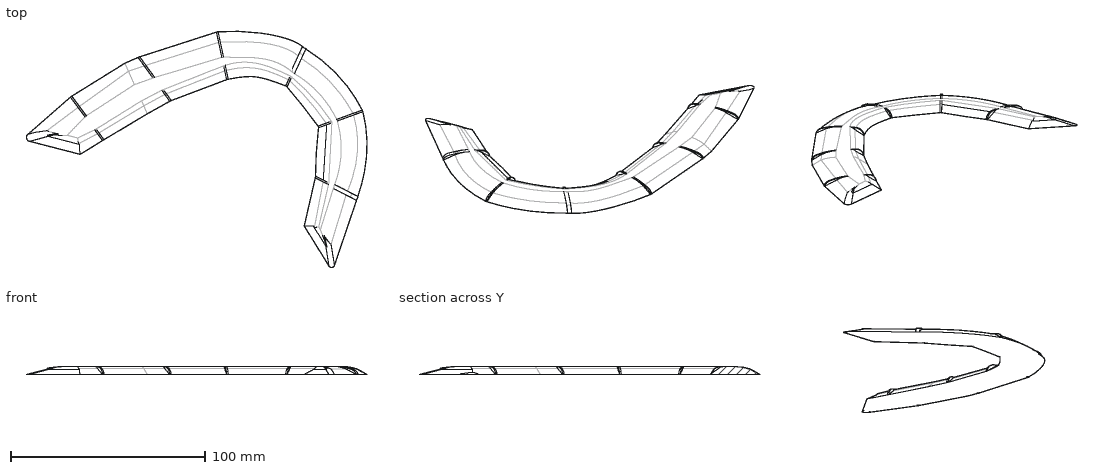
import cadquery as cq
import math

top_height = 4.2
inner_shoulder_height = 3.0
outer_shoulder_height = 2.8

rib_thickness = 0.9
wide_rib_thickness = 2.1
rib_inner_bulge = (1.0, 2.3)
rib_outer_bulge = (1.0, 1.5)
rib_shoulder_inset = 3.5
rib_inner_shoulder_height = 3.9

cutter_margin = 21.0
cap_shoulder_height = 2.6
start_cap_slope_run = 5.0
start_cap_round_run = 3.0
end_cap_slope_run = 4.0
end_cap_round_run = 2.1
start_point_radius = 2.1
end_point_radius = 1.5
start_ridge_top = (8.3, 68.8)
end_ridge_top = (156.0, 9.0)
ridge_overrun = 2


def station(inner, outer, inner_widths, outer_widths):
    """One cross-section: two base corners, and the (shoulder, crest) distance from each corner."""
    return {"inner": inner, "outer": outer, "inner_widths": inner_widths, "outer_widths": outer_widths}


start_tip = station((27.7, 58.3), (-2.3, 66.0), (7.9, 12.8), (5.3, 17.5))
joint_1 = station((39.7, 65.7), (23.0, 88.2), (4.4, 6.8), (6.7, 12.6))
outer_bend = station((62.3, 79.2), (50.8, 105.4), (4.5, 7.4), (4.5, 12.1))
joint_2 = station((74.3, 85.9), (58.0, 108.5), (4.4, 7.0), (5.5, 13.2))
joint_3 = station((103.6, 97.0), (98.4, 121.5), (4.7, 7.4), (5.5, 13.3))
crown_left = station((113.1, 98.4), (112.0, 121.7), (4.7, 7.5), (5.3, 13.3))
crown_right = station((119.8, 98.0), (125.8, 120.1), (4.4, 6.8), (5.0, 13.0))
joint_4 = station((134.0, 93.5), (143.1, 113.3), (3.5, 5.6), (5.5, 14.0))
right_shoulder = station((142.5, 83.2), (160.5, 99.2), (4.2, 6.8), (5.3, 13.5))
joint_5 = station((150.5, 72.5), (173.3, 80.8), (4.5, 7.4), (5.1, 14.0))
right_bulge = station((149.5, 61.0), (175.6, 62.5), (4.4, 7.4), (5.0, 13.3))
joint_6 = station((149.0, 46.7), (170.5, 35.7), (4.5, 7.7), (6.1, 13.5))
end_tip = station((143.1, 21.5), (157.7, -2.1), (7.9, 10.5), (6.3, 16.3))

stretches = [
    [joint_1, outer_bend],
    [outer_bend, joint_2],
    [joint_2, joint_3],
    [joint_3, crown_left, crown_right, joint_4],
    [joint_4, right_shoulder, joint_5],
    [joint_5, right_bulge, joint_6],
]
joints = [joint_1, joint_2, joint_3, joint_4, joint_5, joint_6]
wide_outer_joints = [joint_4, joint_6]


def station_plane(place):
    """Upright plane with its origin at the inner base corner and local X towards the outer one."""
    dx = place["outer"][0] - place["inner"][0]
    dy = place["outer"][1] - place["inner"][1]
    return cq.Plane(origin=(*place["inner"], 0), xDir=(dx, dy, 0), normal=(dy, -dx, 0))


def round_middle(low, high):
    """Point midway along the arc from low up to high that is level at high."""
    run = high[0] - low[0]
    rise = high[1] - low[1]
    radius = (run**2 + rise**2) / (2 * rise)
    half_angle = math.asin(abs(run) / radius) / 2
    return (
        high[0] - math.copysign(radius * math.sin(half_angle), run),
        high[1] - radius * (1 - math.cos(half_angle)),
    )


def band_profile(place):
    """Closed section wire: inner slope and round, flat top, outer dome and slope, base."""
    width = math.dist(place["inner"], place["outer"])
    inner_shoulder = (place["inner_widths"][0], inner_shoulder_height)
    inner_crest = (place["inner_widths"][1], top_height)
    outer_crest = (width - place["outer_widths"][1], top_height)
    outer_shoulder = (width - place["outer_widths"][0], outer_shoulder_height)
    return (
        cq.Workplane(station_plane(place))
        .lineTo(*inner_shoulder)
        .threePointArc(round_middle(inner_shoulder, inner_crest), inner_crest)
        .lineTo(*outer_crest)
        .threePointArc(round_middle(outer_shoulder, outer_crest), outer_shoulder)
        .lineTo(width, 0)
        .close()
        .val()
    )


def band_stretch(places):
    """Solid through two or more stations; straight between two, smooth through more."""
    ruled = len(places) == 2
    return cq.Workplane(cq.Solid.makeLoft([band_profile(place) for place in places], ruled))


def close_rib(outline, place, thickness):
    """Finish a rib outline from the outer crest down its bulging outer end, and thicken it."""
    width = math.dist(place["inner"], place["outer"])
    outer_crest = (width - place["outer_widths"][1], top_height)
    shoulder = (width - rib_shoulder_inset, outer_shoulder_height)
    return (
        outline.lineTo(*outer_crest)
        .threePointArc(round_middle(shoulder, outer_crest), shoulder)
        .threePointArc((width - rib_outer_bulge[0], rib_outer_bulge[1]), (width, 0))
        .close()
        .extrude(thickness / 2, both=True)
    )


def cross_rib(place):
    """Thin upright plate across the whole band with bulging ends, flush with the flat top."""
    outline = (
        cq.Workplane(station_plane(place))
        .threePointArc(rib_inner_bulge, (rib_shoulder_inset, rib_inner_shoulder_height))
        .lineTo(place["inner_widths"][1], top_height)
    )
    return close_rib(outline, place, rib_thickness)


def outer_rib(place):
    """Thicker plate over the outer dome and slope only."""
    width = math.dist(place["inner"], place["outer"])
    outline = cq.Workplane(station_plane(place)).moveTo(width - place["outer_widths"][1], 0)
    return close_rib(outline, place, wide_rib_thickness)


def cap_cutter(place, inward_sign, slope_run, round_run):
    """Block beyond a slope that rises from the tip's base line and rounds over into the top."""
    across = station_plane(place)
    inward = across.zDir * inward_sign
    length = math.dist(place["inner"], place["outer"])
    shoulder = (slope_run, cap_shoulder_height)
    crest = (slope_run + round_run, top_height)
    return (
        cq.Workplane(cq.Plane(origin=across.origin, xDir=inward, normal=inward.cross(cq.Vector(0, 0, 1))))
        .lineTo(*shoulder)
        .threePointArc(round_middle(shoulder, crest), crest)
        .lineTo(crest[0], top_height + cutter_margin)
        .lineTo(-cutter_margin, top_height + cutter_margin)
        .lineTo(-cutter_margin, 0)
        .close()
        .extrude(length + cutter_margin, both=True)
    )


def oblique_prism(wire, sweep):
    """Solid between a wire and its copy shifted along a slanting direction."""
    return cq.Solid.makeLoft([wire, wire.translate(sweep)], True)


def point_cutter(tip, joint, ridge_top, radius):
    """Sharp corner outside an oblique round that follows the ridge between a cap and the outer slope."""
    corner = cq.Vector(*tip["outer"])
    ridge = cq.Vector(*ridge_top, outer_shoulder_height) - corner
    cap_side = (cq.Vector(*tip["inner"]) - corner).normalized()
    outer_side = (cq.Vector(*joint["outer"]) - corner).normalized()
    half_angle = cap_side.getAngle(outer_side) / 2
    tangent_run = radius / math.tan(half_angle)
    centre = corner + (cap_side + outer_side).normalized() * (radius / math.sin(half_angle))
    cap_tangent = corner + cap_side * tangent_run
    outer_tangent = corner + outer_side * tangent_run
    beyond = corner * 2 - centre
    block_outline = cq.Wire.makePolygon([centre, cap_tangent, beyond, outer_tangent], close=True)
    round_outline = cq.Wire.makeCircle(radius, centre, cq.Vector(0, 0, 1))
    sweep = ridge * ridge_overrun
    return cq.Workplane(oblique_prism(block_outline, sweep)).cut(
        cq.Workplane(oblique_prism(round_outline, sweep))
    )


def capped_tip(tip, joint, inward_sign, slope_run, round_run, ridge_top, point_radius):
    """End stretch of the band with its sloped cap and rounded ridge."""
    return (
        band_stretch([tip, joint])
        .cut(cap_cutter(tip, inward_sign, slope_run, round_run))
        .cut(point_cutter(tip, joint, ridge_top, point_radius))
    )


start_end = capped_tip(
    start_tip, joint_1, 1, start_cap_slope_run, start_cap_round_run, start_ridge_top, start_point_radius
)
lower_end = capped_tip(
    end_tip, joint_6, -1, end_cap_slope_run, end_cap_round_run, end_ridge_top, end_point_radius
)
body = start_end.union(lower_end)
for places in stretches:
    body = body.union(band_stretch(places))
for place in joints:
    body = body.union(cross_rib(place))
for place in wide_outer_joints:
    body = body.union(outer_rib(place))
result = body